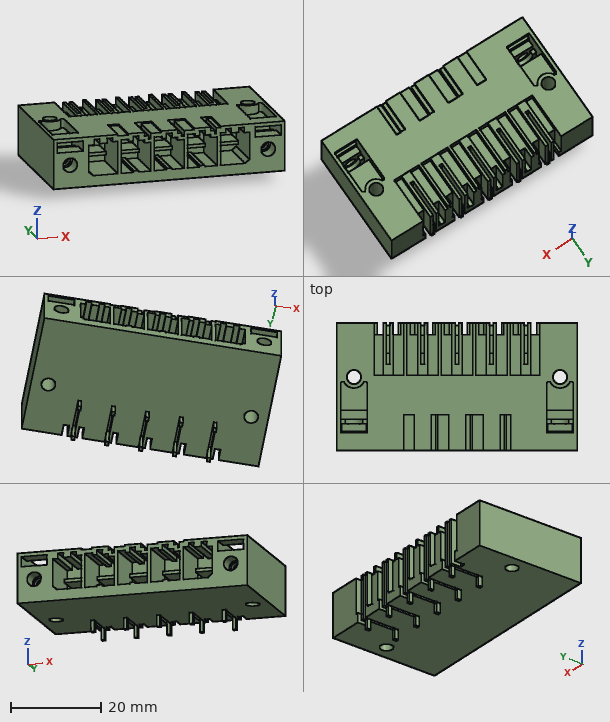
import cadquery as cq


length = 53.35
depth = 28.3
height = 11.45

pitch = 7.65
position_count = 5
centres = [(i - (position_count - 1) / 2) * pitch for i in range(position_count)]

cavity_depth = 10.65
cavity_floor = 2.45
cavity_half_width = 3.4
outer_cavity_half_width = 3.25
key_top = 10.8
key_root = 9.7
inner_key_half_width = 0.65
inner_ledge_x = 1.65
inner_ledge_top = 10.2
inner_lowered_top = 9.05
end_outer_key = (0.75, 2.05)
end_outer_top = 9.55
end_inner_key = (-2.2, -0.95)
end_inner_top = 9.9
floor_rib_base = 1.45
floor_rib_top = 0.95
floor_rib_height = 0.3
corner_chamfer_x = 1.0
corner_chamfer_z = 0.85

groove_length = 7.95
shallow_groove_depth = 0.3
shallow_groove_end = 5.8
last_groove_end = 4.25
notch_start = 2.0
notch_step = 2.9
notch_step_depth = 0.85
notch_depth = 1.6
last_notch_end = 3.25

chamber_length = 11.65
chamber_front = depth - chamber_length
chamber_floor = 9.8
chamber_end_x = 18.3
partition = 0.7
partition_base = 2.1
cheek_block = 2.25
cheek_drop = 0.2
rear_opening_length = 2.6
opening_front = depth - rear_opening_length
shelf_top = 2.45
shelf_width = 0.55
end_shelf_width = 0.65
ramp_start = 1.45
ramp_length = 0.7
ramp_rise = 0.19

sheet = 0.75
blade_width = 4.5
blade_z = 5.75
blade_tip_y = 5.35
contact_back_gap = 0.55
slot_length = 9.2
slot_front = depth - slot_length
leg_width = 1.0
leg_drop = 2.5
shoulder_length = 2.45
shoulder_drop = 0.8
slope_length = 2.25
slope_drop = 1.6
plate_bottom = 2.45

flange_x = 22.85
fixing_hole_radius = 1.55
fixing_boss_radius = 2.45
fixing_hole_y = depth - 12.0
pocket_width = 5.9
pocket_back_y = depth - 13.0
pocket_front_y = depth - 24.3
pocket_floor = 9.4
pocket_corner_radius = 0.5
pit_back_y = depth - 19.4
pit_floor = 2.25
saddle_back_y = depth - 21.35
saddle_front_y = depth - 22.4
saddle_top = 6.1
saddle_radius = 1.9
window_top = 10.6
window_sill = 8.3
screw_z = 5.3
screw_hole_radius = 1.6

nut_size = 5.45
nut_thickness = 1.65
nut_bore_radius = 1.3


def block(x0, x1, y0, y1, z0, z1):
    return cq.Workplane("XY").box(x1 - x0, y1 - y0, z1 - z0, centered=False).translate((x0, y0, z0))


def along_y(points, y0, y1):
    """Prism of an XZ outline running from y0 to y1."""
    return cq.Workplane("XZ", origin=(0, y0, 0)).polyline(points).close().extrude(y0 - y1)


def rod_along_y(x, z, radius, y0, y1):
    return cq.Workplane("XZ", origin=(x, y0, z)).circle(radius).extrude(y0 - y1)


def inner_cavity(centre):
    """Cavity with a stepped keyed roof and a low rib along the floor."""
    outline = [
        (-cavity_half_width, cavity_floor),
        (-cavity_half_width, inner_ledge_top),
        (-inner_ledge_x, inner_ledge_top),
        (-inner_ledge_x, key_root),
        (-inner_key_half_width, key_root),
        (-inner_key_half_width, key_top),
        (inner_key_half_width, key_top),
        (inner_key_half_width, key_root),
        (notch_start, key_root),
        (notch_start, inner_lowered_top),
        (cavity_half_width, inner_lowered_top),
        (cavity_half_width, cavity_floor),
        (floor_rib_base / 2, cavity_floor),
        (floor_rib_top / 2, cavity_floor + floor_rib_height),
        (-floor_rib_top / 2, cavity_floor + floor_rib_height),
        (-floor_rib_base / 2, cavity_floor),
    ]
    return along_y([(centre + x, z) for x, z in outline], 0, cavity_depth)


def end_cavity(centre, side):
    """End cavity with two key slots and a chamfered outer floor edge; side is -1 or +1."""
    outer_key_start, outer_key_end = end_outer_key
    inner_key_start, inner_key_end = end_inner_key
    outline = [
        (outer_cavity_half_width, cavity_floor + corner_chamfer_z),
        (outer_cavity_half_width, end_outer_top),
        (outer_key_end, end_outer_top),
        (outer_key_end, key_top),
        (outer_key_start, key_top),
        (outer_key_start, key_root),
        (inner_key_end, key_root),
        (inner_key_end, key_top),
        (inner_key_start, key_top),
        (inner_key_start, end_inner_top),
        (-cavity_half_width, end_inner_top),
        (-cavity_half_width, cavity_floor),
        (outer_cavity_half_width - corner_chamfer_x, cavity_floor),
    ]
    return along_y([(centre + side * x, z) for x, z in outline], 0, cavity_depth)


def roof_groove(centre, start, end):
    return block(centre + start, centre + end, 0, groove_length, height - shallow_groove_depth, height)


def roof_notch(centre, end):
    step = block(centre + notch_start, centre + end, 0, groove_length, height - notch_step_depth, height)
    deep = block(centre + notch_step, centre + end, 0, groove_length, height - notch_depth, height)
    return step.union(deep)


def rear_chambers():
    """Shallow chambers over the contacts, leaving partitions and slotted cheek blocks."""
    cut = block(-chamber_end_x, chamber_end_x, chamber_front, depth, chamber_floor, height)
    for left, right in zip(centres, centres[1:]):
        middle = (left + right) / 2
        cut = cut.cut(block(middle - partition / 2, middle + partition / 2, chamber_front, depth, 0, height))
    for centre in centres:
        x0 = centre - cheek_block / 2
        x1 = centre + cheek_block / 2
        cut = cut.cut(block(x0, x1, chamber_front, depth, 0, height - cheek_drop))
    return cut


def rear_opening(x0, x1):
    return block(x0, x1, opening_front, depth, 0, chamber_floor)


def shelf(x0, x1):
    return block(x0, x1, opening_front, depth, 0, shelf_top)


def ramped_shelf(middle, cheek_x):
    """Shelf that curves up towards the cheek block on its +X side."""
    x0 = middle + partition_base / 2
    arc_start = middle + ramp_start
    arc_end = arc_start + ramp_length
    top = shelf_top + ramp_rise
    return (
        cq.Workplane("XZ", origin=(0, opening_front, 0))
        .moveTo(x0, 0)
        .lineTo(x0, shelf_top)
        .lineTo(arc_start, shelf_top)
        .tangentArcPoint((arc_end, top), relative=False)
        .lineTo(cheek_x, top)
        .lineTo(cheek_x, 0)
        .close()
        .extrude(-rear_opening_length)
    )


def add_rear_openings(body):
    """Openings through to the underside at the rear face, with the low shelves inside them."""
    for i, centre in enumerate(centres):
        left_cheek = centre - cheek_block / 2
        right_cheek = centre + cheek_block / 2
        if i == 0:
            body = body.cut(rear_opening(-chamber_end_x, left_cheek))
            body = body.union(shelf(-chamber_end_x, -chamber_end_x + end_shelf_width))
        else:
            middle = centre - pitch / 2
            body = body.cut(rear_opening(middle + partition_base / 2, left_cheek))
            body = body.union(ramped_shelf(middle, left_cheek))
        if i == position_count - 1:
            body = body.cut(rear_opening(right_cheek, chamber_end_x))
            body = body.union(shelf(chamber_end_x - end_shelf_width, chamber_end_x))
        else:
            base_x = centre + pitch / 2 - partition_base / 2
            body = body.cut(rear_opening(right_cheek, base_x))
            body = body.union(shelf(base_x - shelf_width, base_x))
    return body


def contact_slot(centre):
    """Slot for the upright plate and the passage that the blade runs through."""
    slot = block(centre - sheet / 2, centre + sheet / 2, slot_front, depth, 0, height)
    return slot.union(blade(centre))


def blade(centre):
    return block(
        centre - blade_width / 2, centre + blade_width / 2,
        blade_tip_y, slot_front,
        blade_z - sheet / 2, blade_z + sheet / 2,
    )


def make_contact(centre):
    """Horizontal blade joined to an upright plate with two solder legs."""
    top = blade_z + sheet / 2
    shoulder = top - shoulder_drop
    back = depth - contact_back_gap
    profile = [
        (slot_front, -leg_drop),
        (slot_front, top),
        (slot_front + shoulder_length, top),
        (slot_front + shoulder_length, shoulder),
        (back - slope_length, shoulder),
        (back, shoulder - slope_drop),
        (back, -leg_drop),
        (back - leg_width, -leg_drop),
        (back - leg_width, plate_bottom),
        (slot_front + leg_width, plate_bottom),
        (slot_front + leg_width, -leg_drop),
    ]
    plate = cq.Workplane("YZ", origin=(centre - sheet / 2, 0, 0)).polyline(profile).close().extrude(sheet)
    return plate.union(blade(centre))


def flange_pocket(x):
    """Top pocket around the fixing boss, with a deep nut pit behind the front window."""
    x0 = x - pocket_width / 2
    x1 = x + pocket_width / 2
    pocket = block(x0, x1, pocket_front_y, pocket_back_y, pocket_floor, height)
    pocket = pocket.edges("|Z and >Y").fillet(pocket_corner_radius)
    boss = cq.Workplane("XY").center(x, fixing_hole_y).circle(fixing_boss_radius).extrude(height)
    pit = block(x0, x1, pocket_front_y, pit_back_y, pit_floor, height)
    saddle = block(x0, x1, saddle_front_y, saddle_back_y, 0, saddle_top)
    saddle = saddle.cut(rod_along_y(x, screw_z, saddle_radius, saddle_front_y, saddle_back_y))
    saddle = saddle.cut(
        block(x - saddle_radius, x + saddle_radius, saddle_front_y, saddle_back_y, screw_z, saddle_top)
    )
    window = block(x0, x1, 0, pocket_front_y, window_sill, window_top)
    return pocket.cut(boss).union(pit.cut(saddle)).union(window)


def flange_holes(x):
    fixing = cq.Workplane("XY").center(x, fixing_hole_y).circle(fixing_hole_radius).extrude(height)
    return fixing.union(rod_along_y(x, screw_z, screw_hole_radius, 0, pocket_front_y))


def make_nut(x):
    back = saddle_front_y
    front = back - nut_thickness
    half = nut_size / 2
    body = block(x - half, x + half, front, back, screw_z - half, screw_z + half)
    return body.cut(rod_along_y(x, screw_z, nut_bore_radius, front, back))


def make_housing():
    body = block(-length / 2, length / 2, 0, depth, 0, height)
    body = body.cut(end_cavity(centres[0], -1)).cut(end_cavity(centres[-1], 1))
    for centre in centres[1:-1]:
        body = body.cut(inner_cavity(centre))
    for centre in centres[:-2]:
        body = body.cut(roof_groove(centre, cavity_half_width, shallow_groove_end))
    for centre in centres[1:-2]:
        body = body.cut(roof_notch(centre, cavity_half_width))
    body = body.cut(roof_notch(centres[-2], last_notch_end))
    body = body.cut(roof_groove(centres[-2], last_notch_end, last_groove_end))
    body = body.cut(rear_chambers())
    body = add_rear_openings(body)
    for centre in centres:
        body = body.cut(contact_slot(centre))
    for x in (-flange_x, flange_x):
        body = body.cut(flange_pocket(x)).cut(flange_holes(x))
    return body


housing = make_housing().solids()
contacts = [make_contact(centre).solids() for centre in centres]
nuts = [make_nut(x).solids() for x in (-flange_x, flange_x)]

result = cq.Compound.makeCompound(
    [housing.val(), *[contact.val() for contact in contacts], *[nut.val() for nut in nuts]]
)